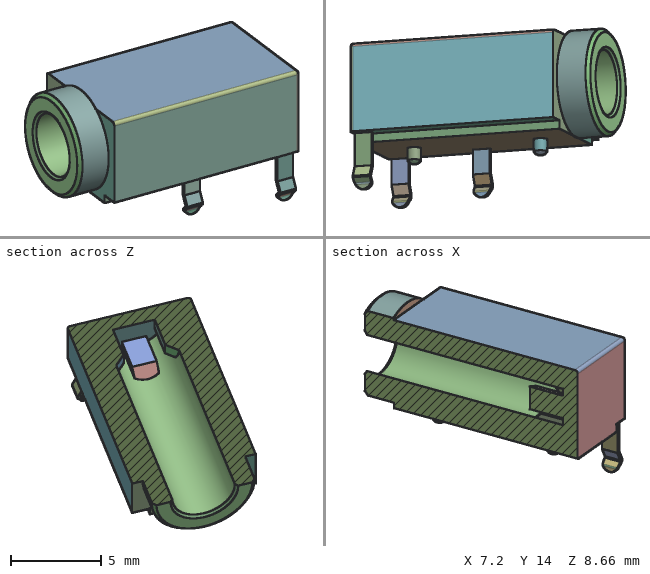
import cadquery as cq


overall_length = 13.97
overall_height = 8.66

housing_width = 7.2
housing_length = 12.05
housing_top = 2.5
housing_bottom = -2.49
edge_radius = 0.2
foot_width = 5.14
foot_bottom = -2.96

collar_diameter = 6.0
collar_length = overall_length - housing_length
collar_chamfer = 0.21
bore_diameter = 3.63
mouth_chamfer = 0.15
rear_wall = 1.0
bore_floor = housing_length - rear_wall

contact_width = 1.42
contact_reach = 1.2
contact_start = 8.38
contact_burial = 0.14
contact_base = bore_diameter / 2 + contact_burial

pin_diameter = 0.75
pin_root = -2.8
pin_shoulder = -3.65
pin_bottom = -3.87
pin_places = (2.1, 9.58)

leg_width = 1.0
leg_thickness = 0.22
leg_bottom = collar_diameter / 2 - overall_height
leg_root = -2.1
kink_start = -4.36
kink_crest_top = -4.95
kink_crest_bottom = -5.03
kink_end = -5.34
kink_offset = 0.31
kink_end_radius = 0.14
side_leg_x = 2.89
side_leg_y = 11.48
centre_leg_x = 1.65
centre_leg_y = 6.19


def box(width, y_start, y_end, z_bottom, z_top):
    """Block centred on X = 0."""
    return (
        cq.Workplane("XY")
        .box(width, y_end - y_start, z_top - z_bottom, centered=(True, False, False))
        .translate((0, y_start, z_bottom))
    )


def make_housing():
    """Block with rounded top and rear edges, standing on a narrower foot."""
    block = box(housing_width, 0, housing_length, housing_bottom, housing_top)
    block = block.edges("(|Y and >Z) or (|X and >Y and >Z) or (|Z and >Y)").fillet(edge_radius)
    foot = box(foot_width, 0, housing_length, foot_bottom, 0)
    return block.union(foot)


def make_collar():
    """Round collar in front of the housing, chamfered at the mouth end."""
    return (
        cq.Workplane("XZ")
        .circle(collar_diameter / 2)
        .extrude(collar_length)
        .faces("<Y")
        .chamfer(collar_chamfer)
    )


def make_bore():
    """Blind bore with a conical lead-in at the mouth, revolved about the Y axis."""
    radius = bore_diameter / 2
    mouth = -collar_length
    return (
        cq.Workplane("XY")
        .moveTo(0, mouth)
        .lineTo(radius + mouth_chamfer, mouth)
        .lineTo(radius, mouth + mouth_chamfer)
        .lineTo(radius, bore_floor)
        .lineTo(0, bore_floor)
        .close()
        .revolve(360, (0, 0, 0), (0, 1, 0))
    )


def make_contact(angle):
    """Contact with a 45 degree ramp, turned about the bore axis from the +X side."""
    ramp_length = contact_base - contact_reach
    return (
        cq.Workplane("XY")
        .workplane(offset=-contact_width / 2)
        .moveTo(contact_base, contact_start)
        .lineTo(contact_reach, contact_start + ramp_length)
        .lineTo(contact_reach, bore_floor)
        .lineTo(contact_base, bore_floor)
        .close()
        .extrude(contact_width)
        .rotate((0, 0, 0), (0, 1, 0), angle)
    )


def make_pin(y):
    """Locating pin under the foot, revolved about its own axis, with a shallow domed tip."""
    radius = pin_diameter / 2
    dome_height = pin_shoulder - pin_bottom
    dome_radius = (radius**2 + dome_height**2) / (2 * dome_height)
    return (
        cq.Workplane("XZ", origin=(0, y, 0))
        .moveTo(0, pin_root)
        .lineTo(radius, pin_root)
        .lineTo(radius, pin_shoulder)
        .radiusArc((0, pin_bottom), dome_radius)
        .close()
        .revolve(360, (0, 0, 0), (0, 1, 0))
    )


def make_leg(x, y, outward):
    """Kinked solder leg with a half-round end; outward is +1 or -1 along X."""
    centre_line = [
        (x, leg_root),
        (x, kink_start),
        (x + outward * kink_offset, kink_crest_top),
        (x + outward * kink_offset, kink_crest_bottom),
        (x, kink_end),
        (x, leg_bottom),
    ]
    half = leg_thickness / 2
    left_side = [(px - half, pz) for px, pz in centre_line]
    right_side = [(px + half, pz) for px, pz in reversed(centre_line)]
    strip = (
        cq.Workplane("XZ", origin=(0, y, 0))
        .polyline(left_side + right_side)
        .close()
        .extrude(leg_width / 2, both=True)
    )
    end_bend = cq.selectors.BoxSelector(
        (x - leg_thickness, y - leg_width, kink_end - leg_thickness / 2),
        (x + leg_thickness, y + leg_width, kink_end + leg_thickness / 2),
    )
    strip = strip.edges("|Y").edges(end_bend).fillet(kink_end_radius)
    tip_radius = leg_width / 2
    tip_centre = leg_bottom + tip_radius
    blank_half_depth = leg_thickness + kink_offset
    rounded_blank = (
        cq.Workplane("YZ", origin=(x, y, 0))
        .moveTo(-tip_radius, leg_root)
        .lineTo(-tip_radius, tip_centre)
        .threePointArc((0, leg_bottom), (tip_radius, tip_centre))
        .lineTo(tip_radius, leg_root)
        .close()
        .extrude(blank_half_depth, both=True)
    )
    return strip.intersect(rounded_blank)


result = make_housing().union(make_collar()).cut(make_bore())

for contact_angle in (0, 90, 180):
    result = result.union(make_contact(contact_angle))

for pin_y in pin_places:
    result = result.union(make_pin(pin_y))

result = result.union(make_leg(-side_leg_x, side_leg_y, -1))
result = result.union(make_leg(side_leg_x, side_leg_y, 1))
result = result.union(make_leg(centre_leg_x, centre_leg_y, 1))